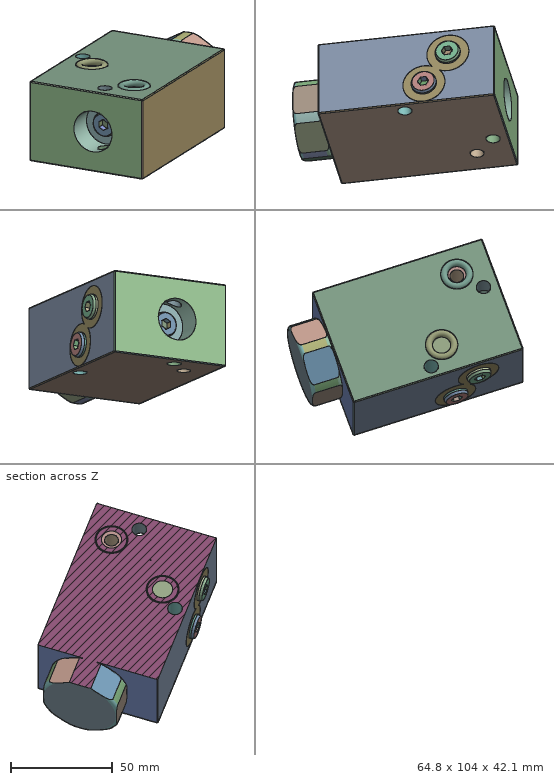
import cadquery as cq
import math


block_width = 62.5
block_length = 88.3
block_height = 41.3
block_chamfer = 0.5

axis_x = 35.0
axis_z = block_height / 2
overall_length = 104
cap_length = overall_length - block_length
cap_across_flats = 38.0
cap_corner_diameter = 41.3
cap_edge_radius = 1.9

spot_diameter = 21.0
front_spot_depth = 13.5
side_spot_depth = 0.1
plug_diameter = 12.5
plug_height = 2.4
plug_bevel_height = 1.4
plug_bevel_width = 0.6
socket_across_flats = 4.8
socket_depth = 3.6
side_plug_positions = [(23.3, 27.8), (35.3, 11.1)]

bolt_hole_diameter = 7.0
bolt_hole_positions = [(5.8, 45.9), (37.7, 7.8)]

blind_port = (15.3, 37.2)
open_port = (48.6, 17.9)
port_hole_diameter = 6.8
recess_diameter = 15.9
ring_section_diameter = 3.5
ring_protrusion = 0.8
ring_overlap = 0.05
recess_depth = ring_section_diameter - ring_protrusion - ring_overlap


def hexagon_prism(plane, across_flats, height):
    """Hexagonal prism on the plane, with two corners on the plane's local X axis."""
    corner_to_corner = across_flats / math.cos(math.radians(30))
    return cq.Workplane(plane).polygon(6, corner_to_corner).extrude(height)


def end_cap():
    """Hexagonal cap with its corners turned round and its end edges rounded over."""
    plane = cq.Plane(origin=(axis_x, block_length, axis_z), xDir=(0, 0, 1), normal=(0, 1, 0))
    blank = cq.Workplane(plane).circle(cap_corner_diameter / 2).extrude(cap_length)
    blank = blank.faces("<Y or >Y").edges().fillet(cap_edge_radius)
    return blank.intersect(hexagon_prism(plane, cap_across_flats, cap_length))


def fit_plug(body, face_point, outward, corner_direction, spot_depth):
    """Place a bevelled hex-socket plug on the floor of a spot face."""
    outward = cq.Vector(*outward)
    floor_point = cq.Vector(*face_point) - outward * spot_depth
    floor = cq.Plane(origin=floor_point, xDir=corner_direction, normal=outward)
    head_radius = plug_diameter / 2
    straight_height = plug_height - plug_bevel_height
    head = cq.Workplane(floor).circle(head_radius).extrude(straight_height)
    bevel = (
        cq.Workplane(floor)
        .workplane(offset=straight_height)
        .circle(head_radius)
        .workplane(offset=plug_bevel_height)
        .circle(head_radius - plug_bevel_width)
        .loft(combine=False)
    )
    socket_floor = floor_point + outward * (plug_height - socket_depth)
    socket_plane = cq.Plane(origin=socket_floor, xDir=corner_direction, normal=outward)
    socket = hexagon_prism(socket_plane, socket_across_flats, socket_depth)
    return body.union(head).union(bevel).cut(socket)


def spot_face(body, face_point, outward, depth):
    """Cut a flat-bottomed round recess into a face of the block."""
    inward = cq.Vector(*outward) * -1
    tool = cq.Solid.makeCylinder(spot_diameter / 2, depth, cq.Vector(*face_point), inward)
    return body.cut(cq.Workplane(tool))


def through_hole(body, position, diameter):
    """Drill vertically through the whole block."""
    tool = cq.Workplane("XY").center(*position).circle(diameter / 2).extrude(block_height)
    return body.cut(tool)


def sealed_port(body, position):
    """Recess in the top face holding a protruding O-ring."""
    recess = (
        cq.Workplane("XY", origin=(0, 0, block_height))
        .center(*position)
        .circle(recess_diameter / 2)
        .extrude(-recess_depth)
    )
    section_radius = ring_section_diameter / 2
    ring_radius = recess_diameter / 2 + ring_overlap - section_radius
    ring_z = block_height + ring_protrusion - section_radius
    ring = cq.Solid.makeTorus(ring_radius, section_radius, cq.Vector(*position, ring_z))
    return body.cut(recess).union(cq.Workplane(ring))


result = cq.Workplane("XY").box(block_width, block_length, block_height, centered=False)
result = result.edges().chamfer(block_chamfer)
result = result.union(end_cap())

front = (0, -1, 0)
front_point = (axis_x, 0, axis_z)
left = (-1, 0, 0)
left_points = [(0, y, z) for y, z in side_plug_positions]
result = spot_face(result, front_point, front, front_spot_depth)
for point in left_points:
    result = spot_face(result, point, left, side_spot_depth)

for position in bolt_hole_positions:
    result = through_hole(result, position, bolt_hole_diameter)

result = fit_plug(result, front_point, front, (0, 0, 1), front_spot_depth)
for point in left_points:
    result = fit_plug(result, point, left, (0, 1, 0), side_spot_depth)

for position in (blind_port, open_port):
    result = sealed_port(result, position)
result = through_hole(result, open_port, port_hole_diameter)